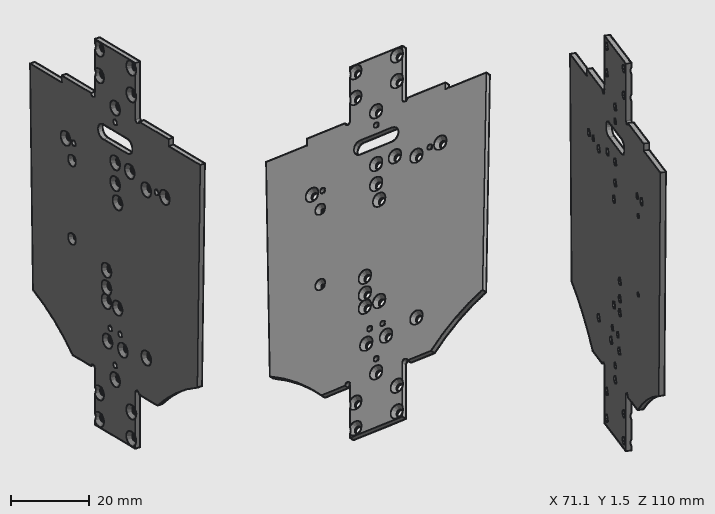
import cadquery as cq

length = 110.0
width = 71.1
thickness = 1.5
half_length = length / 2
half_width = width / 2
front_y = -thickness / 2

tab_half_width = 8.5
shoulder_z = 38.9
step_half_width = 22.3
step_z = 37.0
lower_half_width = 34.3
lower_corner_z = -27.1
base_half_width = 17.7
corner_arc_sagitta = 1.0

relief_radius = 0.8
relief_x = tab_half_width + relief_radius

slot_length = 14.3
slot_height = 4.2
slot_z = 29.9

large_bore, large_head = 2.0, 4.1
small_bore, small_head = 1.1, 3.2
pin_diameter = 1.5

tab_screw_x, tab_outer_z, tab_inner_z = 6.7, 52.8, 45.2
end_screw_z, end_pin_z = 38.7, 34.6
upper_row_z, upper_screw_x, upper_pin_x = 21.7, 20.7, 17.3
rear_screw_x, rear_screw_z = 3.2, -29.0
rear_pin_x, rear_pin_z = 2.1, -25.0
right_pair_x, right_upper_z, right_lower_z = 13.0, 20.7, -27.3
small_screw_x, small_upper_z, small_lower_z = -18.0, 16.4, -5.9
upper_group = [(0, 23.1), (6.0, 23.1), (0, 17.2), (1.0, 12.1)]
lower_group = [(-3.6, -9.0), (-3.6, -14.0), (-3.6, -17.9), (1.0, -17.9)]


def left_and_right(x, z):
    return [(-x, z), (x, z)]


def top_and_bottom(x, z):
    return [(x, z), (x, -z)]


def four_corners(x, z):
    return left_and_right(x, z) + left_and_right(x, -z)


large_screws = (
    four_corners(tab_screw_x, tab_outer_z)
    + four_corners(tab_screw_x, tab_inner_z)
    + top_and_bottom(0, end_screw_z)
    + left_and_right(upper_screw_x, upper_row_z)
    + left_and_right(rear_screw_x, rear_screw_z)
    + upper_group
    + lower_group
    + [(right_pair_x, right_upper_z), (right_pair_x, right_lower_z)]
)
small_screws = [(small_screw_x, small_upper_z), (small_screw_x, small_lower_z)]
pins = (
    top_and_bottom(0, end_pin_z)
    + left_and_right(upper_pin_x, upper_row_z)
    + left_and_right(rear_pin_x, rear_pin_z)
)


def front_face():
    """Sketch plane on the front face; a negative extrusion runs back through the plate."""
    return cq.Workplane("XZ", origin=(0, front_y, 0))


def half_plate():
    """Right half of the plate, closed along the centre line."""
    return (
        front_face()
        .moveTo(0, half_length)
        .lineTo(tab_half_width, half_length)
        .lineTo(tab_half_width, shoulder_z)
        .lineTo(step_half_width, shoulder_z)
        .lineTo(step_half_width, step_z)
        .lineTo(half_width, step_z)
        .lineTo(lower_half_width, lower_corner_z)
        .sagittaArc((base_half_width, -shoulder_z), -corner_arc_sagitta)
        .lineTo(tab_half_width, -shoulder_z)
        .lineTo(tab_half_width, -half_length)
        .lineTo(0, -half_length)
        .close()
        .extrude(-thickness)
    )


def through_holes(points, diameter):
    return front_face().pushPoints(points).circle(diameter / 2).extrude(-thickness)


def countersinks(points, bore, head):
    """Cones with 45 degree walls, widest at the front face."""
    depth = (head - bore) / 2
    cone = cq.Solid.makeCone(head / 2, bore / 2, depth, dir=cq.Vector(0, 1, 0))
    cones = cq.Workplane()
    for x, z in points:
        cones = cones.add(cone.translate(cq.Vector(x, front_y, z)))
    return cones.combine()


right_half = half_plate()
plate = right_half.union(right_half.mirror("YZ"))

plate = plate.cut(through_holes(four_corners(relief_x, shoulder_z), 2 * relief_radius))
plate = plate.cut(front_face().center(0, slot_z).slot2D(slot_length, slot_height).extrude(-thickness))
plate = plate.cut(through_holes(pins, pin_diameter))

for screws, bore, head in (
    (large_screws, large_bore, large_head),
    (small_screws, small_bore, small_head),
):
    plate = plate.cut(through_holes(screws, bore))
    plate = plate.cut(countersinks(screws, bore, head))

result = plate